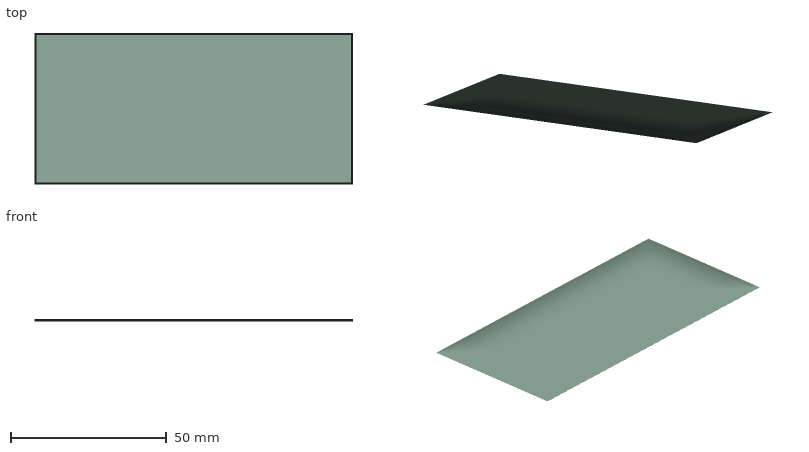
import cadquery as cq

sheet_length = 101.6
sheet_width = 48.0
sheet_thickness = 0.05

result = cq.Workplane("XY").box(
    sheet_length,
    sheet_width,
    sheet_thickness,
    centered=(True, True, False),
)